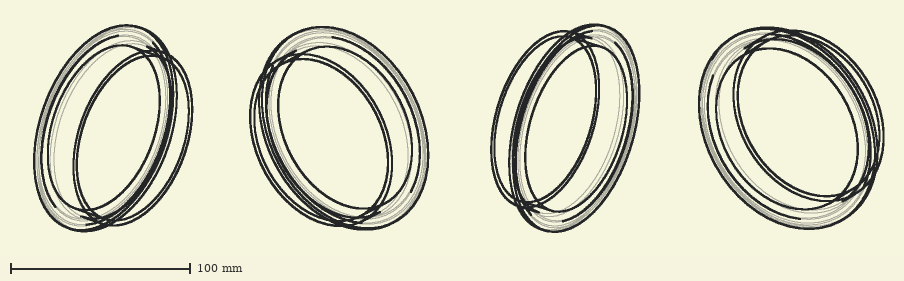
import cadquery as cq
import math

length = 21.5
flange_radius = 59.5
pipe_radius = 50.8
bore_radius = 47.8

flange_edge_thickness = 2.7
taper_angle = math.radians(20)
rim_round = 0.77
neck_fillet = 1.9
neck_x = flange_edge_thickness + (flange_radius - pipe_radius) * math.tan(taper_angle)

groove_radius = 55.1
groove_bottom_half_width = 1.13
groove_half_width = 2.0
groove_wall_angle = math.radians(70)


def ferrule_blank():
    """Revolve the bored pipe and its tapered flange."""
    profile = (
        cq.Workplane("XY")
        .moveTo(0, bore_radius)
        .lineTo(0, flange_radius)
        .lineTo(flange_edge_thickness, flange_radius)
        .lineTo(neck_x, pipe_radius)
        .lineTo(length, pipe_radius)
        .lineTo(length, bore_radius)
        .close()
    )
    return profile.revolve(360, (0, 0, 0), (1, 0, 0))


def round_circle(body, x, radius, round_radius):
    """Round the circular edge of the given radius at position x."""
    tolerance = 0.01
    reach = radius + tolerance
    edge = body.edges(
        cq.selectors.BoxSelector(
            (x - tolerance, -reach, -reach), (x + tolerance, reach, reach), boundingbox=True
        )
    )
    return edge.fillet(round_radius)


def gasket_groove():
    """Ring-shaped cutter made of a concave bottom arc between two convex lip arcs."""
    sine = math.sin(groove_wall_angle)
    cosine = math.cos(groove_wall_angle)
    bottom_arc = groove_bottom_half_width / sine
    lip_arc = (groove_half_width - groove_bottom_half_width) / sine
    lip_depth = lip_arc * (1 - cosine)
    depth = lip_depth + bottom_arc * (1 - cosine)

    lip_mid_offset = groove_half_width - lip_arc * math.sin(groove_wall_angle / 2)
    lip_mid_depth = lip_arc * (1 - math.cos(groove_wall_angle / 2))

    profile = (
        cq.Workplane("XY")
        .moveTo(0, groove_radius + groove_half_width)
        .threePointArc(
            (lip_mid_depth, groove_radius + lip_mid_offset),
            (lip_depth, groove_radius + groove_bottom_half_width),
        )
        .threePointArc(
            (depth, groove_radius),
            (lip_depth, groove_radius - groove_bottom_half_width),
        )
        .threePointArc(
            (lip_mid_depth, groove_radius - lip_mid_offset),
            (0, groove_radius - groove_half_width),
        )
        .close()
    )
    return profile.revolve(360, (0, 0, 0), (1, 0, 0))


blank = ferrule_blank()
blank = round_circle(blank, neck_x, pipe_radius, neck_fillet)
blank = round_circle(blank, flange_edge_thickness, flange_radius, rim_round)
result = blank.cut(gasket_groove())